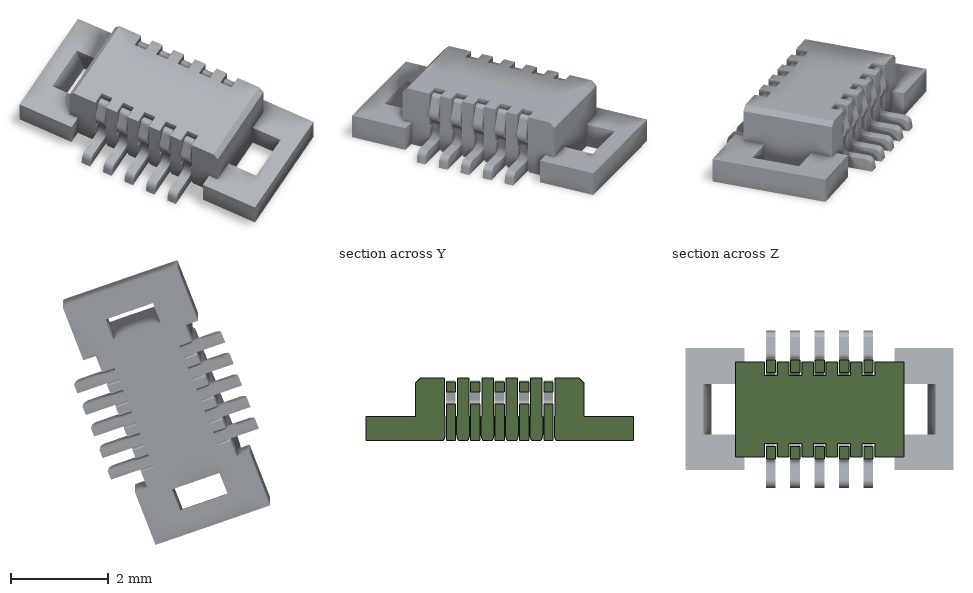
import cadquery as cq
import math

body_length = 3.46
body_width = 1.96
body_height = 1.29
body_chamfer = 0.1

overall_length = 5.5
plate_width = 2.5
plate_height = 0.51
plate_inner_x = 1.535
window_width = 1.04
window_top_x = 2.38
window_bottom_x = 2.215

contact_count = 5
contact_pitch = 0.5
slot_depth = 0.275
slot_upper_width = 0.255
slot_lower_width = 0.225
slot_mouth_width = 0.31
slot_mouth_height = 0.15

contact_width = 0.2
contact_thickness = 0.2
contact_span = 3.23
foot_end_y = contact_span / 2
foot_height = 0.255
foot_end_lean = 0.025
foot_round_start_z = 0.143
foot_round_start_y = 1.436
stem_front_y = 0.88
stem_bend_radius = 0.145
stem_top_z = 0.545
bulge_y = 1.037
bulge_radius = contact_thickness
bulge_center_z = 0.818
tip_crown_z = 1.237
tip_front_radius = 0.09
arm_lean = math.radians(20)


def polar(center, radius, angle):
    """Point at an angle, measured up from the outward y direction."""
    return (center[0] + radius * math.cos(angle), center[1] + radius * math.sin(angle))


def make_body():
    block = cq.Workplane("XY").box(body_length, body_width, body_height, centered=(True, True, False))
    return block.faces(">Z").edges("|Y").chamfer(body_chamfer)


def make_plate(side):
    """End plate on the side (+1 or -1) of X, with a window whose outer wall slopes."""
    outer_x = overall_length / 2
    plate = (
        cq.Workplane("XY")
        .box(outer_x - plate_inner_x, plate_width, plate_height, centered=(True, True, False))
        .translate((side * (outer_x + plate_inner_x) / 2, 0, 0))
    )
    window = (
        cq.Workplane("XZ")
        .moveTo(side * plate_inner_x, 0)
        .lineTo(side * window_bottom_x, 0)
        .lineTo(side * window_top_x, plate_height)
        .lineTo(side * plate_inner_x, plate_height)
        .close()
        .extrude(window_width / 2, both=True)
    )
    return plate.cut(window)


def make_slot():
    """Cutter for one slot on the -Y side: wide at the top, narrow below, flared at the bottom."""
    upper = slot_upper_width / 2
    lower = slot_lower_width / 2
    mouth = slot_mouth_width / 2
    return (
        cq.Workplane("XZ", origin=(0, slot_depth - body_width / 2, 0))
        .moveTo(0, body_height)
        .lineTo(upper, body_height)
        .lineTo(upper, plate_height)
        .lineTo(lower, plate_height)
        .lineTo(lower, slot_mouth_height)
        .tangentArcPoint((mouth, 0), relative=False)
        .lineTo(0, 0)
        .mirrorY()
        .extrude(slot_depth)
    )


def make_contact():
    """One contact on the -Y side: foot, stem, outward bulge and rounded tip."""
    bulge_center = (bulge_y - bulge_radius, bulge_center_z)

    rise = bulge_center_z - stem_top_z
    run = stem_front_y - bulge_center[0]
    neck_radius = (rise**2 + run**2 - bulge_radius**2) / (2 * (bulge_radius - run))
    neck_center = (stem_front_y + neck_radius, stem_top_z)
    neck_angle = math.atan2(rise, bulge_center[0] - neck_center[0])
    neck_mid_angle = (neck_angle + math.pi) / 2
    neck_end = polar(neck_center, neck_radius, neck_angle)
    bulge_end = polar(bulge_center, bulge_radius, arm_lean)

    tip_back_radius = contact_thickness - tip_front_radius
    tip_front_center_z = tip_crown_z - tip_front_radius
    arm_line_start = polar(bulge_center, bulge_radius - tip_front_radius, arm_lean)
    tip_front_center = (
        arm_line_start[0] - (tip_front_center_z - arm_line_start[1]) * math.tan(arm_lean),
        tip_front_center_z,
    )
    tip_end_angle = arm_lean + math.pi / 2
    tip_end = polar(tip_front_center, tip_front_radius, tip_end_angle)
    tip_back_center = polar(tip_end, -tip_back_radius, tip_end_angle)

    foot_round_start = (foot_end_y - foot_end_lean, foot_round_start_z)
    foot_round_end = (foot_round_start_y, foot_height)
    stem_bend_center = (stem_front_y + stem_bend_radius, foot_height + stem_bend_radius)
    stem_back_y = stem_front_y - contact_thickness

    profile = (
        cq.Workplane("YZ")
        .moveTo(stem_back_y, 0)
        .lineTo(foot_end_y, 0)
        .lineTo(*foot_round_start)
        .tangentArcPoint(foot_round_end, relative=False)
        .lineTo(stem_bend_center[0], foot_height)
        .threePointArc(
            polar(stem_bend_center, stem_bend_radius, math.radians(225)),
            (stem_front_y, stem_bend_center[1]),
        )
        .lineTo(stem_front_y, stem_top_z)
        .threePointArc(polar(neck_center, neck_radius, neck_mid_angle), neck_end)
        .threePointArc(polar(bulge_center, bulge_radius, 0), bulge_end)
        .lineTo(*polar(tip_front_center, tip_front_radius, arm_lean))
        .threePointArc(
            polar(tip_front_center, tip_front_radius, arm_lean + math.pi / 4),
            tip_end,
        )
        .threePointArc(
            polar(tip_back_center, tip_back_radius, tip_end_angle + math.pi / 4),
            polar(tip_back_center, tip_back_radius, arm_lean + math.pi),
        )
        .lineTo(*bulge_center)
        .threePointArc(
            polar(neck_center, neck_radius + contact_thickness, neck_mid_angle),
            (stem_back_y, stem_top_z),
        )
        .close()
    )
    return profile.extrude(contact_width / 2, both=True).mirror("XZ")


housing = make_body()
for side in (-1, 1):
    housing = housing.union(make_plate(side))

slot = make_slot()
contact = make_contact()
result = housing
for index in range(contact_count):
    x = (index - (contact_count - 1) / 2) * contact_pitch
    for turn in (0, 180):
        place = cq.Location(cq.Vector(x, 0, 0), cq.Vector(0, 0, 1), turn)
        result = result.cut(cq.Workplane(slot.val().moved(place)))
        result = result.union(cq.Workplane(contact.val().moved(place)))